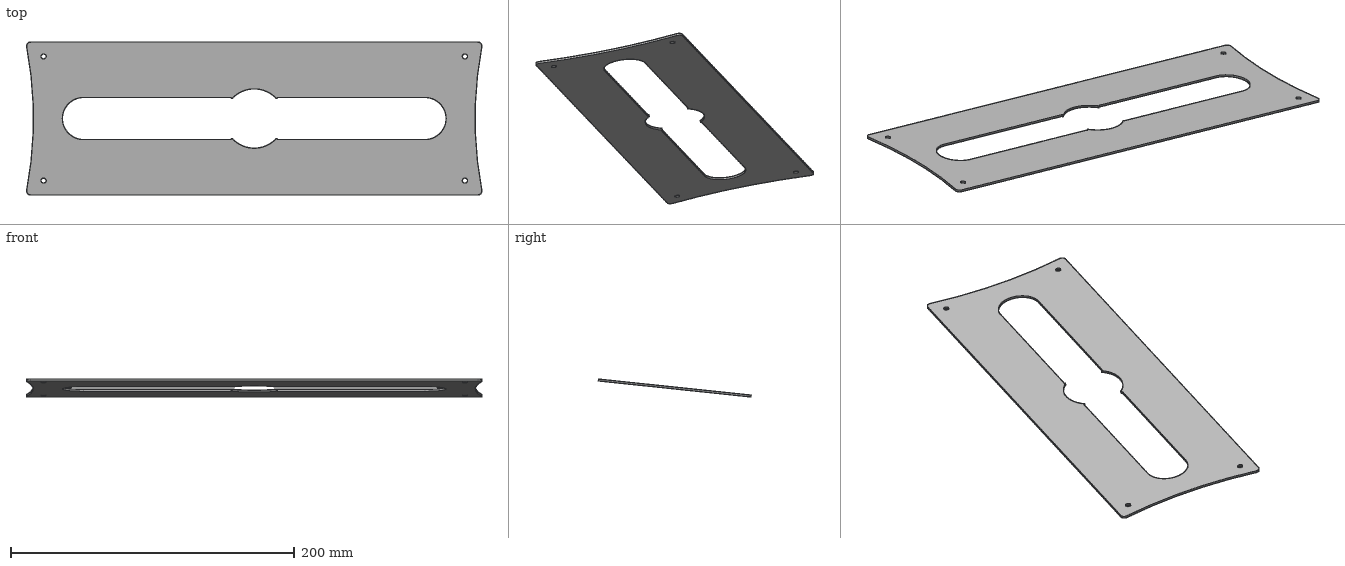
import cadquery as cq
import math

length = 321.5
footprint_depth = 108.0
thickness = 1.5
tilt_angle = 6.0
tilt = math.radians(tilt_angle)
width = (footprint_depth - thickness * math.sin(tilt)) / math.cos(tilt)
end_hollow = 4.8
corner_radius = 3.0
corner_trim = 0.6

slot_length = 270.7
slot_width = 30.0
finger_hole_diameter = 42.0
lip_radius = 0.8

screw_hole_diameter = 3.5
screw_spacing_x = 297.5
screw_spacing_y = 88.0


def plate_blank():
    """Rectangular plate with hollowed short ends and rounded corners."""
    tip_x = length / 2 + corner_trim
    waist_x = length / 2 - end_hollow
    half_width = width / 2
    return (
        cq.Workplane("XY")
        .moveTo(-tip_x, -half_width)
        .lineTo(tip_x, -half_width)
        .threePointArc((waist_x, 0), (tip_x, half_width))
        .lineTo(-tip_x, half_width)
        .threePointArc((-waist_x, 0), (-tip_x, -half_width))
        .close()
        .extrude(thickness / 2, both=True)
        .edges("|Z")
        .fillet(corner_radius)
    )


def cut_slot(plate):
    """Cut the long round-ended slot."""
    slot = (
        cq.Workplane("XY")
        .slot2D(slot_length, slot_width)
        .extrude(thickness, both=True)
    )
    return plate.cut(slot)


def add_lips(plate):
    """Add small rounded lips to the slot walls, next to the rim of the finger hole."""
    lip_y = slot_width / 2
    rim_x = math.sqrt((finger_hole_diameter / 2) ** 2 - lip_y**2)
    lip_x = rim_x + lip_radius
    lips = (
        cq.Workplane("XY")
        .rect(2 * lip_x, 2 * lip_y, forConstruction=True)
        .vertices()
        .circle(lip_radius)
        .extrude(thickness / 2, both=True)
    )
    return plate.union(lips)


def cut_finger_hole(plate):
    """Cut the round hole at the middle of the slot, trimming the lips to its rim."""
    finger_hole = (
        cq.Workplane("XY")
        .circle(finger_hole_diameter / 2)
        .extrude(thickness, both=True)
    )
    return plate.cut(finger_hole)


def cut_screw_holes(plate):
    """Drill one screw hole near each corner."""
    drills = (
        cq.Workplane("XY")
        .rect(screw_spacing_x, screw_spacing_y, forConstruction=True)
        .vertices()
        .circle(screw_hole_diameter / 2)
        .extrude(thickness, both=True)
    )
    return plate.cut(drills)


flat_plate = plate_blank()
flat_plate = cut_slot(flat_plate)
flat_plate = add_lips(flat_plate)
flat_plate = cut_finger_hole(flat_plate)
flat_plate = cut_screw_holes(flat_plate)

result = flat_plate.rotate((0, 0, 0), (1, 0, 0), -tilt_angle)